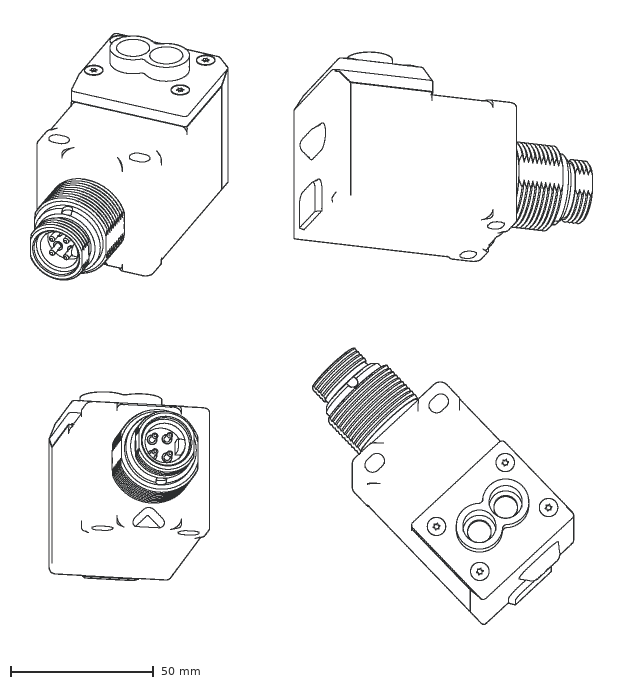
import cadquery as cq
import math


width = 44.57
total_length = 104.65
total_height = 60.0
depth = 68.82
deck_height = 44.5
front_corner_radius = 3.2
back_edge_radius = 1.4
deck_edge_radius = 1.4
bottom_edge_radius = 1.1

head_front = 31.47
head_shoulder = 48.8
head_top = 54.3
head_side_inset = 1.8
head_end_inset = 3.1
head_corner_radius = back_edge_radius
head_top_radius = 1.1
seam_width = 0.2
seam_depth = 0.12
seam_y = 62.17
seam_top_y = 66.47
seam_top_z = 48.2

lens_y = 50.07
lens_offset = 6.35
barrel_radius = 8.15
barrel_waist_radius = 1.5
lens_bore_radius = 5.8
lens_bore_depth = 10.0
lens_seat_radius = 4.15
lens_seat_depth = 2.0

screw_x = 16.6
screw_pitch_y = 22.1
screw_head_radius = 3.25
screw_head_rise = 0.25
star_outer_radius = 1.25
star_inner_radius = 0.75
star_lobes = 6
star_depth = 0.8

recess_radius = 3.2
side_recess_start = 9.7
front_recess_length = 23.1
head_undercut = 0.7

slot_x = 15.45
slot_y = 6.27
slot_length = 7.4
slot_width = 5.3

arrow_peak_z = 7.8
arrow_tip_radius = 2.7
arrow_depth = 2.3
arrow_wall_angle = 45.0

window_z = 28.0
window_left = -9.1
window_right = 0.0
window_base_radius = 5.0
window_nose_radius = 2.9
window_nose_depth = 2.75
window_rise = 4.55
nose_height = window_rise - window_nose_depth
nose_arc_radius = (window_nose_radius**2 + nose_height**2) / (2 * nose_height)

foot_width = 20.0
foot_height = 13.4
foot_rise = 2.1
foot_corner_radius = 5.0
foot_taper = 32.0

axis_z = deck_height / 2
base_radius = 13.6
base_fillet = 1.4
large_thread_start = 2.83
large_thread_end = 19.03
large_thread_radius = 15.05
large_thread_pitch = 25.4 / 16
large_thread_depth = 0.9
large_flat_offset = 13.75
collar_radius = 12.6
collar_end = 22.88
collar_chamfer = 1.4
notch_width = 3.6
notch_floor_radius = 11.2
notch_start = 19.53
neck_radius = 9.7
neck_end = 24.93
small_thread_end = total_length - depth - window_rise
small_thread_radius = 11.1
small_thread_pitch = 25.4 / 16
small_thread_depth = 0.8
small_flat_offset = 9.88

rim_chamfer = 0.4
rim_bore_radius = 8.65
rim_bore_depth = 2.5
socket_radius = 7.2
socket_depth = 9.0
key_inner_x = 4.8
key_width = 4.5
key_tip_gap = 2.5
key_overlap = 0.3
pin_positions = [(-3.35, 2.85), (-3.35, -2.85), (2.0, 3.35), (2.0, -3.35)]
pin_radius = 1.0
pin_nose = 0.5
pin_tip_gap = 3.5
pin_ring_radius = 1.7
pin_ring_depth = 0.4


def box(x_range, y_range, z_range):
    """Axis-aligned box between pairs of limits."""
    size = [high - low for low, high in (x_range, y_range, z_range)]
    corner = (x_range[0], y_range[0], z_range[0])
    return cq.Workplane("XY").box(*size, centered=False).translate(corner)


def rod(radius, start, end, x=0, z=0):
    """Cylinder on the connector axis, or offset from it, between two distances ahead of the front face."""
    plane = cq.Workplane("XZ", origin=(x, -start, axis_z + z))
    return plane.circle(radius).extrude(end - start)


def make_housing():
    body = box((-width / 2, width / 2), (0, depth), (0, deck_height))
    body = body.edges("|Z and <Y").fillet(front_corner_radius)
    body = body.edges("|Z and >Y").fillet(back_edge_radius)
    body = body.faces("<Z").edges().fillet(bottom_edge_radius)
    open_edges = cq.selectors.BoxSelector((-width, -1, 0), (width, depth - front_corner_radius, total_height))
    return body.faces(">Z").edges(open_edges).fillet(deck_edge_radius)


def edge_cutter(length, mitre_start):
    """Material outside a rounded edge that runs along +X, with the solid on the +Y, -Z side.

    The far end is always mitred, the near end only on request.
    """
    r = recess_radius
    rounding = (
        cq.Workplane("YZ")
        .moveTo(0, -r)
        .radiusArc((r, 0), r)
        .lineTo(-1, 0)
        .lineTo(-1, -r)
        .close()
        .extrude(length)
    )
    start_inset = r if mitre_start else 0
    plan = (
        cq.Workplane("XY")
        .moveTo(0, -1)
        .lineTo(0, 0)
        .lineTo(start_inset, r)
        .lineTo(length - r, r)
        .lineTo(length, 0)
        .lineTo(length, -1)
        .close()
        .extrude(2 * (r + 1), both=True)
    )
    return rounding.intersect(plan)


def cut_recesses(body):
    """Recesses along the side edges, above and below, and along the two front edges."""
    front = edge_cutter(front_recess_length, True).translate((-front_recess_length / 2, 0, 0))
    body = body.cut(front.translate((0, 0, deck_height))).cut(front.mirror("XY"))

    upper_end = head_front + head_undercut
    upper = edge_cutter(upper_end - side_recess_start, False)
    lower = edge_cutter(depth - side_recess_start, False).mirror("XY")
    for cutter, y, z in ((upper, upper_end, deck_height), (lower, depth, 0)):
        cutter = cutter.rotate((0, 0, 0), (0, 0, 1), -90).translate((-width / 2, y, z))
        body = body.cut(cutter).cut(cutter.mirror("YZ"))
    return body


def head_section(side_inset, end_inset):
    """Rounded rectangle of the head, inset from its full outline."""
    outline = cq.Sketch().rect(width - 2 * side_inset, depth - head_front - 2 * end_inset)
    return outline.vertices().fillet(head_corner_radius)


def make_head():
    """Upright rounded block with a top that tapers by different amounts at the sides and ends."""
    sunk_base = deck_height - recess_radius
    middle = (0, (head_front + depth) / 2)
    full_section = head_section(0, 0)
    block = (
        cq.Workplane("XY", origin=(*middle, sunk_base))
        .placeSketch(full_section)
        .extrude(head_shoulder - sunk_base)
    )
    taper = (
        cq.Workplane("XY", origin=(*middle, head_shoulder))
        .placeSketch(
            full_section,
            head_section(head_side_inset, head_end_inset).moved(cq.Location((0, 0, head_top - head_shoulder))),
        )
        .loft(ruled=True)
    )
    return block.union(taper).faces(">Z").edges().fillet(head_top_radius)


def cut_seam(body):
    """Fine parting line between housing, head and back cover on both sides and the head's front."""
    half_seam = seam_width / 2
    path = [
        (seam_y, 0),
        (seam_y, deck_height),
        (seam_top_y, seam_top_z),
        (depth, seam_top_z),
    ]
    reach = width / 2 - seam_depth
    for start, end in zip(path, path[1:]):
        run = math.dist(start, end)
        angle = math.degrees(math.atan2(end[1] - start[1], end[0] - start[0]))
        strip = box((reach, width), (0, run + half_seam), (-half_seam, half_seam))
        strip = strip.rotate((0, 0, 0), (1, 0, 0), angle).translate((0, start[0], start[1]))
        body = body.cut(strip).cut(strip.mirror("YZ"))
    level = (deck_height, deck_height + seam_width)
    strip = box((reach, width), (head_front, seam_y), level)
    body = body.cut(strip).cut(strip.mirror("YZ"))
    return body.cut(box((-width, width), (head_front - 1, head_front + seam_depth), level))


def make_barrel():
    """Two overlapping round barrels with a softened waist between them."""
    height = total_height - head_top
    plane = cq.Workplane("XY", origin=(0, lens_y, head_top))
    left = plane.center(-lens_offset, 0).circle(barrel_radius).extrude(height)
    barrel = left.union(left.mirror("YZ"))
    waist = cq.selectors.BoxSelector(
        (-1, lens_y - barrel_radius, head_top - 1), (1, lens_y + barrel_radius, total_height + 1)
    )
    return barrel.edges("|Z").edges(waist).fillet(barrel_waist_radius)


def cut_lens_bores(body):
    for x in (-lens_offset, lens_offset):
        plane = cq.Workplane("XY", origin=(x, lens_y, total_height))
        body = body.cut(plane.circle(lens_bore_radius).extrude(-lens_bore_depth))
        body = body.cut(plane.circle(lens_seat_radius).extrude(-lens_bore_depth - lens_seat_depth))
    return body


def add_screws(body):
    """Four round screw heads, slightly proud of the head's top, each with a star recess."""
    star = []
    for i in range(2 * star_lobes):
        radius = star_inner_radius if i % 2 else star_outer_radius
        angle = math.pi / 2 + math.pi * i / star_lobes
        star.append((radius * math.cos(angle), radius * math.sin(angle)))
    top = head_top + screw_head_rise
    height = top - head_shoulder
    for x in (-screw_x, screw_x):
        for y in (lens_y - screw_pitch_y / 2, lens_y + screw_pitch_y / 2):
            plane = cq.Workplane("XY", origin=(x, y, top))
            body = body.union(plane.circle(screw_head_radius).extrude(-height))
            body = body.cut(plane.polyline(star).close().extrude(-star_depth))
    return body


def cut_mounting_slots(body):
    centres = [(-slot_x, slot_y), (slot_x, slot_y)]
    slots = cq.Workplane("XY").pushPoints(centres).slot2D(slot_length, slot_width).extrude(deck_height)
    return body.cut(slots)


def cut_arrow_pocket(body):
    """Arrow-shaped pocket with sloping walls and a rounded tip, open at the bottom edge."""
    reach = 2 * arrow_peak_z
    corner = (-reach, arrow_peak_z - reach)
    pocket = (
        cq.Workplane("XZ")
        .sketch()
        .polygon([corner, (0, arrow_peak_z), (reach, arrow_peak_z - reach), corner])
        .vertices(">Y")
        .fillet(arrow_tip_radius)
        .finalize()
        .extrude(-arrow_depth, taper=arrow_wall_angle)
    )
    return body.cut(pocket)


def window_profile():
    """Half section of the window, from its axis outward."""
    return (
        cq.Workplane("YZ", origin=(window_left, depth, window_z))
        .lineTo(0, window_base_radius)
        .lineTo(window_nose_depth, window_nose_radius)
        .radiusArc((window_rise, 0), nose_arc_radius)
        .close()
    )


def make_window():
    """Elongated dome: a rounded cone profile carried along a straight run."""
    half_bar = window_profile().extrude(window_right - window_left)
    cone = window_profile().revolve(360, (0, 0, 0), (1, 0, 0))
    bar = half_bar.union(half_bar.mirror("XY", (0, 0, window_z)))
    return bar.union(cone).union(cone.translate((window_right - window_left, 0, 0)))


def make_foot():
    """Block tapered on its top and sides, with a plain bottom flush with the housing."""
    foot = (
        cq.Workplane("XZ", origin=(0, depth, 0))
        .sketch()
        .rect(foot_width, 2 * foot_height)
        .vertices()
        .fillet(foot_corner_radius)
        .finalize()
        .extrude(-foot_rise, taper=foot_taper)
    )
    return foot.intersect(box((-width, width), (0, 2 * depth), (0, deck_height)))


def make_thread(radius, start, end, pitch, groove_depth, flat_offset):
    """Threaded sleeve, its thread simplified to ring grooves, with flats on the two X sides."""
    root = radius - groove_depth
    turns = round((end - start) / pitch)
    profile = cq.Workplane("XY", origin=(0, 0, axis_z)).moveTo(0, -start).lineTo(root, -start)
    for turn in range(turns):
        turn_start = end - (turns - turn) * pitch
        profile = profile.lineTo(radius, -turn_start - pitch / 2).lineTo(root, -turn_start - pitch)
    sleeve = profile.lineTo(0, -end).close().revolve(360, (0, 0, 0), (0, 1, 0))
    return sleeve.intersect(box((-flat_offset, flat_offset), (-end, -start), (0, deck_height)))


def make_collar():
    """Chamfered collar with a round-ended notch above and below."""
    collar = rod(collar_radius, large_thread_end, collar_end).faces("<Y").chamfer(collar_chamfer)
    notch = (
        cq.Workplane("XY", origin=(0, -notch_start - notch_width / 2, axis_z + notch_floor_radius))
        .circle(notch_width / 2)
        .extrude(collar_radius)
    )
    notch = notch.union(
        box(
            (-notch_width / 2, notch_width / 2),
            (-collar_end, -notch_start - notch_width / 2),
            (axis_z + notch_floor_radius, axis_z + 2 * collar_radius),
        )
    )
    return collar.cut(notch).cut(notch.mirror("XY", (0, 0, axis_z)))


def add_connector(body):
    """Filleted base, large thread, notched collar, neck and small thread, in order toward -Y."""
    base = rod(base_radius, 0, large_thread_start)
    body = body.union(base)
    root_edge = cq.selectors.BoxSelector(
        (-base_radius - 1, -0.1, axis_z - base_radius - 1), (base_radius + 1, 0.1, axis_z + base_radius + 1)
    )
    body = body.edges("%CIRCLE").edges(root_edge).fillet(base_fillet)
    body = body.union(
        make_thread(
            large_thread_radius, large_thread_start, large_thread_end,
            large_thread_pitch, large_thread_depth, large_flat_offset,
        )
    )
    body = body.union(make_collar())
    body = body.union(rod(neck_radius, collar_end, neck_end))
    return body.union(
        make_thread(
            small_thread_radius, neck_end, small_thread_end,
            small_thread_pitch, small_thread_depth, small_flat_offset,
        )
    )


def cut_socket(body):
    """Stepped bore in the connector end, with a chamfered rim."""
    tip = small_thread_end
    floor = tip - socket_depth
    body = body.cut(rod(rim_bore_radius, tip - rim_bore_depth, tip))
    body = body.cut(rod(socket_radius, floor, tip))
    rim = cq.selectors.RadiusNthSelector(0)
    return body.faces("<Y").edges("%CIRCLE").edges(rim).chamfer(rim_chamfer)


def add_contacts(body):
    """Key with a half-round tip and four pins, each standing in a shallow ring recess."""
    tip = small_thread_end
    floor = tip - socket_depth
    key_centre = tip - key_tip_gap - key_width / 2
    half_key = key_width / 2
    key = box((key_inner_x, socket_radius), (-key_centre, -floor + 1), (axis_z - half_key, axis_z + half_key))
    key_end = cq.Workplane("YZ", origin=(key_inner_x, -key_centre, axis_z)).circle(half_key)
    key = key.union(key_end.extrude(socket_radius - key_inner_x))
    key = key.intersect(rod(socket_radius + key_overlap, 0, tip))
    body = body.union(key)
    for x, z in pin_positions:
        body = body.cut(rod(pin_ring_radius, floor - pin_ring_depth, floor, x, z))
        pin = rod(pin_radius, floor - 1, tip - pin_tip_gap, x, z)
        body = body.union(pin.faces("<Y").chamfer(pin_nose))
    return body


housing = cut_recesses(make_housing().union(make_head()))
housing = cut_seam(housing)
housing = cut_lens_bores(housing.union(make_barrel()))
housing = cut_mounting_slots(add_screws(housing))
housing = cut_arrow_pocket(housing)
housing = housing.union(make_window()).union(make_foot())
part = add_contacts(cut_socket(add_connector(housing)))
result = part.solids()